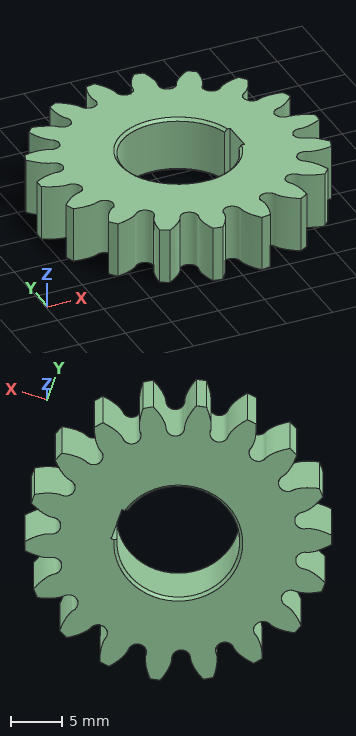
import cadquery as cq
import math

teeth = 18
outer_diameter = 30.0
module = outer_diameter / (teeth + 2)
pressure_angle = math.radians(20)
thickness = 6.0

bore_diameter = 12.0
bore_chamfer = 0.3
key_width = 3.3
key_reach = 6.35

outer_radius = outer_diameter / 2
pitch_radius = module * teeth / 2
base_radius = pitch_radius * math.cos(pressure_angle)
dedendum = 1.25 * module
root_radius = pitch_radius - dedendum
flank_points = 7
tooth_pitch = 2 * math.pi / teeth


def involute(angle):
    return math.tan(angle) - angle


def polar(radius, angle):
    return (radius * math.cos(angle), radius * math.sin(angle))


def half_tooth_angle(radius):
    """Half the angle spanned by a tooth on the involute at the given radius."""
    local_pressure_angle = math.acos(base_radius / radius)
    return tooth_pitch / 4 + involute(pressure_angle) - involute(local_pressure_angle)


def gear_blank():
    base_half_angle = half_tooth_angle(base_radius)
    gap_half_angle = tooth_pitch / 2 - base_half_angle
    gap_center_radius = root_radius / (1 - math.sin(gap_half_angle))
    root_arc_start_radius = gap_center_radius * math.cos(gap_half_angle)
    radius_step = (outer_radius - base_radius) / (flank_points - 1)
    radii = [base_radius + i * radius_step for i in range(flank_points)]

    outline = cq.Workplane("XY").moveTo(*polar(root_arc_start_radius, -base_half_angle))
    for tooth in range(teeth):
        center = tooth * tooth_pitch
        rising = [polar(r, center - half_tooth_angle(r)) for r in radii]
        falling = [polar(r, center + half_tooth_angle(r)) for r in reversed(radii)]
        gap_middle = polar(root_radius, center + tooth_pitch / 2)
        next_tooth = polar(root_arc_start_radius, center + tooth_pitch - base_half_angle)

        outline = outline.lineTo(*rising[0])
        outline = outline.spline(rising[1:], includeCurrent=True)
        outline = outline.threePointArc(polar(outer_radius, center), falling[0])
        outline = outline.spline(falling[1:], includeCurrent=True)
        outline = outline.lineTo(*polar(root_arc_start_radius, center + base_half_angle))
        outline = outline.threePointArc(gap_middle, next_tooth)
    return outline.close().extrude(thickness)


def chamfered_bore():
    """Bore with a 45 degree chamfer at both ends, as a solid to cut away."""
    bore_radius = bore_diameter / 2
    rim_radius = bore_radius + bore_chamfer
    half_section = [
        (0, 0),
        (rim_radius, 0),
        (bore_radius, bore_chamfer),
        (bore_radius, thickness - bore_chamfer),
        (rim_radius, thickness),
        (0, thickness),
    ]
    return cq.Workplane("XZ").polyline(half_section).close().revolve(360, (0, 0), (0, 1))


def keyway():
    return cq.Workplane("XY").box(key_reach, key_width, thickness, centered=(False, True, False))


result = gear_blank().cut(chamfered_bore()).cut(keyway())